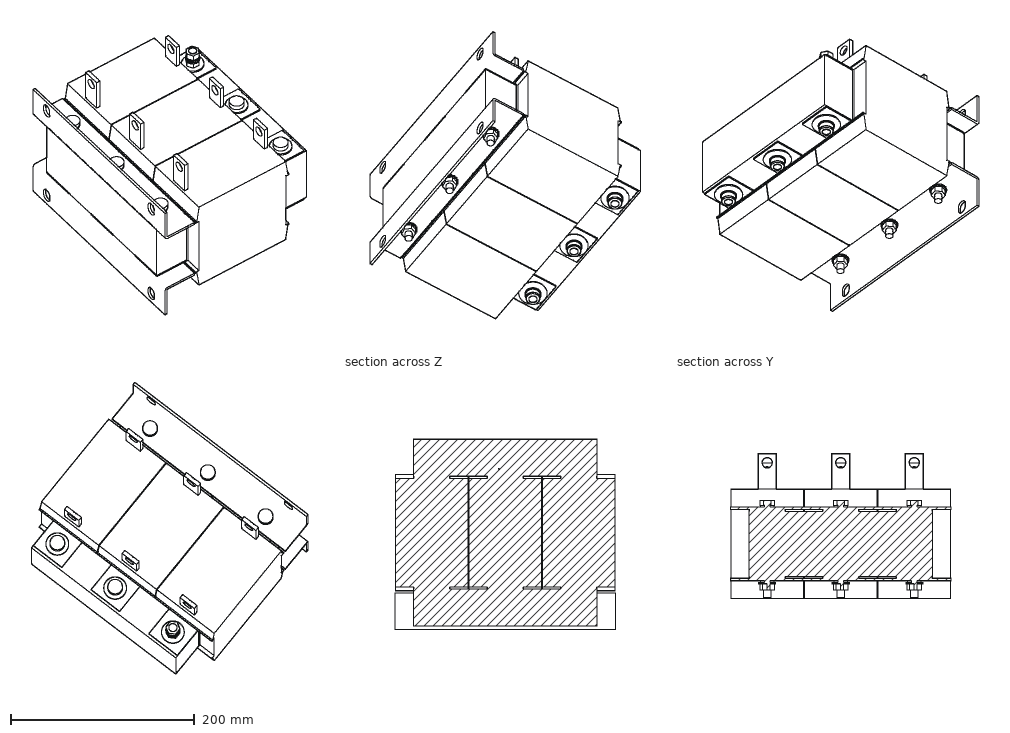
import cadquery as cq
import math

PHASE_PITCH = 80.0
PHASES = (-PHASE_PITCH, 0.0, PHASE_PITCH)

CORE_WIDTH = 200.0
CORE_LENGTH = 203.5
CORE_HEIGHT = 71.0
YOKE_DEPTH = 40.5
BOLT_Y = CORE_LENGTH / 2 - YOKE_DEPTH / 2

LEG_WIDTH = 39.5
INSULATION = 1.8
LEG_REAR_INSET = 3.0
LEG_FRONT_INSET = 0.5
CLAMP_Z = CORE_HEIGHT / 2 + INSULATION

COIL_WIDTH = 79.2
COIL_HEIGHT = 119.0
COIL_HALF_LENGTH = 59.1
COIL_END_BAND = 2.6
COIL_FLARE = 2.8
LIP_HALF_LENGTH = 63.4
LIP_THICKNESS = 1.6

LUG_WIDTH = 20.0
LUG_THICKNESS = 4.5
LUG_Y = 54.1
LUG_HOLE_DIAMETER = 11.0
LUG_HOLE_DROP = 10.0
FRONT_LUG_TOP = 98.25
REAR_LUG_TOP = 88.25

BRACKET_WIDTH = 240.0
BRACKET_DEPTH = 40.0
BRACKET_TOP = 77.5
BRACKET_THICKNESS = 3.0
BEND_INNER_RADIUS = 1.0
BRACKET_FACE_Y = -105.45
SLOT_SPACING = 190.0
SLOT_WIDTH = 11.0
SLOT_LENGTH = 15.5
SLOT_Z = 64.4

HEX_CORNERS = 15.6
HEAD_DIAMETER = 16.2
REAR_STACK_DIAMETER = 15.6
FRONT_HEAD_TOP = 47.5
REAR_HEAD_TOP = 44.5
REAR_WASHER_DIAMETER = 24.8
REAR_WASHER_THICKNESS = 1.8
FRONT_NECK_DIAMETER = 15.0
FRONT_NECK_HEIGHT = 1.5
FRONT_NUT_TURN = -10.0


def box(width, length, z_bottom, z_top, x=0.0, y=0.0):
    """Block centred on x, y between two heights."""
    block = cq.Workplane("XY").box(width, length, z_top - z_bottom, centered=(True, True, False))
    return block.translate((x, y, z_bottom))


def disc(diameter, z_start, z_end, x, y):
    """Upright cylinder between two heights."""
    return cq.Workplane("XY", origin=(x, y, z_start)).circle(diameter / 2).extrude(z_end - z_start)


def hex_nut(z_start, z_end, x, y, turn):
    """Upright hexagon with a corner turned by `turn` degrees from +X."""
    nut = cq.Workplane("XY").polygon(6, HEX_CORNERS).extrude(z_end - z_start)
    return nut.rotate((0, 0, 0), (0, 0, 1), turn).translate((x, y, z_start))


def make_core():
    """Two yokes joined by three insulated legs."""
    core = cq.Workplane("XY")
    half_height = CORE_HEIGHT / 2
    for side in (-1, 1):
        core = core.union(box(CORE_WIDTH, YOKE_DEPTH, -half_height, half_height, y=side * BOLT_Y))
    leg_length = CORE_LENGTH - LEG_REAR_INSET - LEG_FRONT_INSET
    leg_y = (LEG_FRONT_INSET - LEG_REAR_INSET) / 2
    for x in PHASES:
        core = core.union(box(LEG_WIDTH, leg_length, -CLAMP_Z, CLAMP_Z, x, leg_y))
    return core


def make_coil(x):
    """Coil block whose ends flare outwards to a thin lip above and below the yokes."""
    top = COIL_HEIGHT / 2
    lip_z = CLAMP_Z + LIP_THICKNESS
    flare_half_length = COIL_HALF_LENGTH + COIL_FLARE
    quarter = [
        (COIL_HALF_LENGTH, top),
        (COIL_HALF_LENGTH, top - COIL_END_BAND),
        (flare_half_length, lip_z),
        (LIP_HALF_LENGTH, lip_z),
        (LIP_HALF_LENGTH, CLAMP_Z),
        (COIL_HALF_LENGTH, CLAMP_Z),
    ]
    front_half = quarter + [(y, -z) for y, z in reversed(quarter)]
    outline = front_half + [(-y, -z) for y, z in front_half]
    start = (x - COIL_WIDTH / 2, 0, 0)
    return cq.Workplane("YZ", origin=start).polyline(outline).close().extrude(COIL_WIDTH)


def make_lug(x, y, z_top):
    """Flat terminal standing on a coil, with one hole near its top."""
    lug = box(LUG_WIDTH, LUG_THICKNESS, COIL_HEIGHT / 2, z_top, x, y)
    hole_start = (x, y + LUG_THICKNESS / 2, z_top - LUG_HOLE_DROP)
    hole = cq.Workplane("XZ", origin=hole_start).circle(LUG_HOLE_DIAMETER / 2).extrude(LUG_THICKNESS)
    return lug.cut(hole)


def make_upper_bracket():
    """Bent angle clamped on the front yoke, with two slots in its upright leg."""
    face = BRACKET_FACE_Y
    inner_face = face + BRACKET_THICKNESS
    outer_radius = BEND_INNER_RADIUS + BRACKET_THICKNESS
    plate_top = CLAMP_Z + BRACKET_THICKNESS
    bend_y = face + outer_radius
    bend_z = CLAMP_Z + outer_radius
    diagonal = math.sqrt(0.5)
    outer_mid = (bend_y - outer_radius * diagonal, bend_z - outer_radius * diagonal)
    inner_mid = (bend_y - BEND_INNER_RADIUS * diagonal, bend_z - BEND_INNER_RADIUS * diagonal)
    bracket = (
        cq.Workplane("YZ", origin=(-BRACKET_WIDTH / 2, 0, 0))
        .moveTo(face + BRACKET_DEPTH, CLAMP_Z)
        .lineTo(bend_y, CLAMP_Z)
        .threePointArc(outer_mid, (face, bend_z))
        .lineTo(face, BRACKET_TOP)
        .lineTo(inner_face, BRACKET_TOP)
        .lineTo(inner_face, bend_z)
        .threePointArc(inner_mid, (bend_y, plate_top))
        .lineTo(face + BRACKET_DEPTH, plate_top)
        .close()
        .extrude(BRACKET_WIDTH)
    )
    slots = (
        cq.Workplane("XZ", origin=(0, inner_face, SLOT_Z))
        .pushPoints([(-SLOT_SPACING / 2, 0), (SLOT_SPACING / 2, 0)])
        .slot2D(SLOT_LENGTH, SLOT_WIDTH, 90)
        .extrude(BRACKET_THICKNESS)
    )
    return bracket.cut(slots)


def toothed_washer(z_start, z_end, x, y):
    """Washer ring carrying evenly spaced square teeth around its rim."""
    body_diameter = 16.5
    tip_diameter = 18.5
    tooth_width = 1.8
    tooth_count = 16
    washer = disc(body_diameter, z_start, z_end, x, y)
    teeth = (
        cq.Workplane("XY", origin=(x, y, z_start))
        .polarArray(body_diameter / 2, 0, 360, tooth_count)
        .rect(tip_diameter - body_diameter, tooth_width)
        .extrude(z_end - z_start)
    )
    return washer.union(teeth)


def make_front_bolt(x):
    """Round head above the upper bracket; toothed washer, nut and stud end below the lower one."""
    y = -BOLT_Y
    plate_z = CLAMP_Z + BRACKET_THICKNESS
    neck_z = plate_z + FRONT_NECK_HEIGHT
    tooth_washer_thickness = 1.8
    nut_height = 6.6
    stud_diameter = 8.0
    stud_end = 58.4
    washer_z = neck_z + tooth_washer_thickness
    nut_z = washer_z + nut_height
    bolt = disc(FRONT_NECK_DIAMETER, plate_z, neck_z, x, y)
    bolt = bolt.union(disc(HEAD_DIAMETER, neck_z, FRONT_HEAD_TOP, x, y))
    bolt = bolt.union(disc(FRONT_NECK_DIAMETER, -plate_z, -neck_z, x, y))
    bolt = bolt.union(toothed_washer(-washer_z, -neck_z, x, y))
    bolt = bolt.union(hex_nut(-nut_z, -washer_z, x, y, FRONT_NUT_TURN))
    return bolt.union(disc(stud_diameter, -nut_z, -stud_end, x, y))


def make_rear_lower_end(x):
    """Conical washer and collared round head under the rear yoke."""
    cone_top_diameter = 28.0
    cone_diameter = 31.0
    cone_z = 40.3
    neck_diameter = 14.0
    neck_z = 41.6
    collar_diameter = 17.6
    collar_z = 42.9
    head_z = 48.2
    crown_diameter = 14.8
    crown_z = 50.3
    tip_diameter = 9.0
    tip_z = 51.0
    y = BOLT_Y
    end = (
        cq.Workplane("XY", origin=(x, y, -CLAMP_Z))
        .circle(cone_top_diameter / 2)
        .workplane(offset=CLAMP_Z - cone_z)
        .circle(cone_diameter / 2)
        .loft()
    )
    end = end.union(disc(neck_diameter, -cone_z, -neck_z, x, y))
    end = end.union(disc(collar_diameter, -neck_z, -collar_z, x, y))
    end = end.union(disc(REAR_STACK_DIAMETER, -collar_z, -head_z, x, y))
    end = end.union(disc(crown_diameter, -head_z, -crown_z, x, y))
    return end.union(disc(tip_diameter, -crown_z, -tip_z, x, y))


def make_rear_bolt(x):
    """Plain washer and round head on the rear yoke."""
    washer_top = CLAMP_Z + REAR_WASHER_THICKNESS
    bolt = disc(REAR_WASHER_DIAMETER, CLAMP_Z, washer_top, x, BOLT_Y)
    return bolt.union(disc(HEAD_DIAMETER, washer_top, REAR_HEAD_TOP, x, BOLT_Y))


def make_earth_stud(x):
    """Plain washer and a stud carrying two nuts with washers between them."""
    y = BOLT_Y
    washer_top = CLAMP_Z + REAR_WASHER_THICKNESS
    lower_nut_top = 45.5
    lower_washer_top = 47.4
    upper_washer_diameter = 15.2
    upper_washer_top = 49.3
    spring_washer_diameter = 14.5
    upper_nut_bottom = 50.5
    upper_nut_top = 57.6
    stud_diameter = 9.0
    stud_top = 58.4
    corner_turn = 90.0
    stud = disc(REAR_WASHER_DIAMETER, CLAMP_Z, washer_top, x, y)
    stud = stud.union(hex_nut(washer_top, lower_nut_top, x, y, corner_turn))
    stud = stud.union(disc(REAR_STACK_DIAMETER, lower_nut_top, lower_washer_top, x, y))
    stud = stud.union(disc(upper_washer_diameter, lower_washer_top, upper_washer_top, x, y))
    stud = stud.union(disc(spring_washer_diameter, upper_washer_top, upper_nut_bottom, x, y))
    stud = stud.union(hex_nut(upper_nut_bottom, upper_nut_top, x, y, corner_turn))
    return stud.union(disc(stud_diameter, upper_nut_top, stud_top, x, y))


result = make_core()

for phase_x in PHASES:
    result = result.union(make_coil(phase_x))
    result = result.union(make_lug(phase_x, -LUG_Y, FRONT_LUG_TOP))
    result = result.union(make_lug(phase_x, LUG_Y, REAR_LUG_TOP))

upper_bracket = make_upper_bracket()
result = result.union(upper_bracket)
result = result.union(upper_bracket.mirror("XY"))

for phase_x in PHASES:
    result = result.union(make_front_bolt(phase_x))
    result = result.union(make_rear_lower_end(phase_x))

result = result.union(make_earth_stud(PHASES[0]))
for phase_x in PHASES[1:]:
    result = result.union(make_rear_bolt(phase_x))